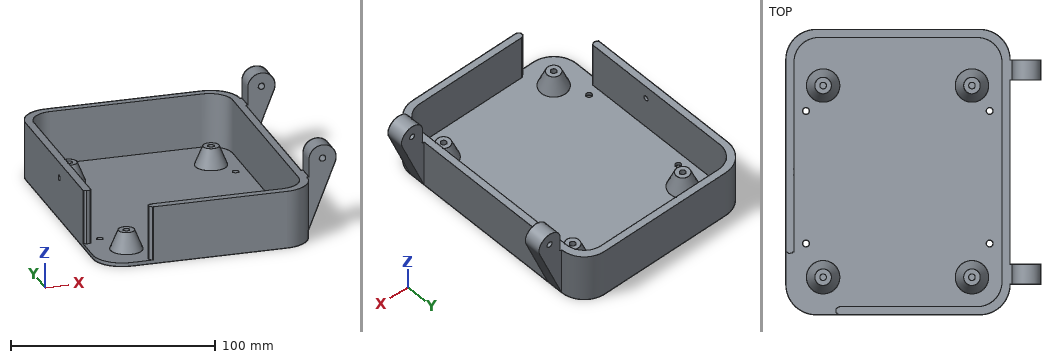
import cadquery as cq
import math

length_x = 110.0
length_y = 140.0
height = 30.0
wall = 4.0
floor = 2.0
outer_radius = 15.0
inner_radius = 12.0

opening_x = 26.5
opening_y = 31.0
post_sides = 7
post_radius = wall / 2
post_setback = 1.1

standoff_xs = (18.3, 91.3)
standoff_ys = (18.5, 112.4)
standoff_base_diameter = 16.4
standoff_top_diameter = 8.1
standoff_height = 10.0
screw_diameter = 3.2
floor_hole_xs = (10.0, 100.0)
floor_hole_ys = (35.0, 100.0)

side_hole_diameter = 2.8
side_hole_y = length_y / 2
side_hole_z = 21.8

overall_x = 125.0
overall_z = 46.0
lug_radius = 7.0
lug_width = 10.0
lug_start_ys = (15.0, 115.1)


def rounded_block(size_x, size_y, size_z, radius):
    """Block with rounded vertical edges, standing on Z = 0 with a corner at the origin."""
    block = cq.Workplane("XY").box(size_x, size_y, size_z, centered=False)
    return block.edges("|Z").fillet(radius)


def tray():
    cavity = rounded_block(length_x - 2 * wall, length_y - 2 * wall, height, inner_radius)
    return rounded_block(length_x, length_y, height, outer_radius).cut(cavity.translate((wall, wall, floor)))


def corner_opening():
    return cq.Workplane("XY").workplane(offset=floor).rect(opening_x, opening_y, centered=False).extrude(height)


def end_post(x, y):
    """Seven-sided post that rounds off the free end of a wall; one vertex points to +X."""
    turn = 2 * math.pi / post_sides
    corners = [
        (x + post_radius * math.cos(i * turn), y + post_radius * math.sin(i * turn))
        for i in range(post_sides)
    ]
    return cq.Workplane("XY").polyline(corners).close().extrude(height)


def standoff(x, y):
    """Tapered standoff with a blind screw hole down to the floor."""
    base = cq.Workplane("XY").workplane(offset=floor).center(x, y)
    cone = base.circle(standoff_base_diameter / 2).workplane(offset=standoff_height)
    cone = cone.circle(standoff_top_diameter / 2).loft(ruled=True)
    return cone.cut(base.circle(screw_diameter / 2).extrude(standoff_height))


def lug(start_y):
    """Hinge lug whose sloping edge runs from the tray's bottom edge tangent to the round eye."""
    eye_x = overall_x - lug_radius
    eye_z = overall_z - lug_radius
    run = eye_x - length_x
    tangent_angle = math.atan2(-eye_z, -run) + math.acos(lug_radius / math.hypot(run, eye_z))
    tangent = (eye_x + lug_radius * math.cos(tangent_angle), eye_z + lug_radius * math.sin(tangent_angle))
    root_x = length_x - wall / 2
    profile = (
        cq.Workplane("XZ", origin=(0, start_y + lug_width, 0))
        .moveTo(root_x, 0)
        .lineTo(length_x, 0)
        .lineTo(*tangent)
        .threePointArc((eye_x, overall_z), (eye_x - lug_radius, eye_z))
        .lineTo(eye_x - lug_radius, height)
        .lineTo(root_x, height)
        .close()
        .extrude(lug_width)
    )
    hole = cq.Workplane("XZ", origin=(eye_x, start_y + lug_width, eye_z)).circle(screw_diameter / 2)
    return profile.cut(hole.extrude(lug_width))


def floor_holes():
    centers = [(x, y) for x in floor_hole_xs for y in floor_hole_ys]
    return cq.Workplane("XY").pushPoints(centers).circle(screw_diameter / 2).extrude(floor)


def side_hole():
    return cq.Workplane("YZ").center(side_hole_y, side_hole_z).circle(side_hole_diameter / 2).extrude(wall)


result = tray().cut(corner_opening())
result = result.union(end_post(opening_x, wall / 2))
result = result.union(end_post(wall / 2, opening_y + post_setback))
for standoff_x in standoff_xs:
    for standoff_y in standoff_ys:
        result = result.union(standoff(standoff_x, standoff_y))
for lug_start_y in lug_start_ys:
    result = result.union(lug(lug_start_y))
result = result.cut(floor_holes()).cut(side_hole())